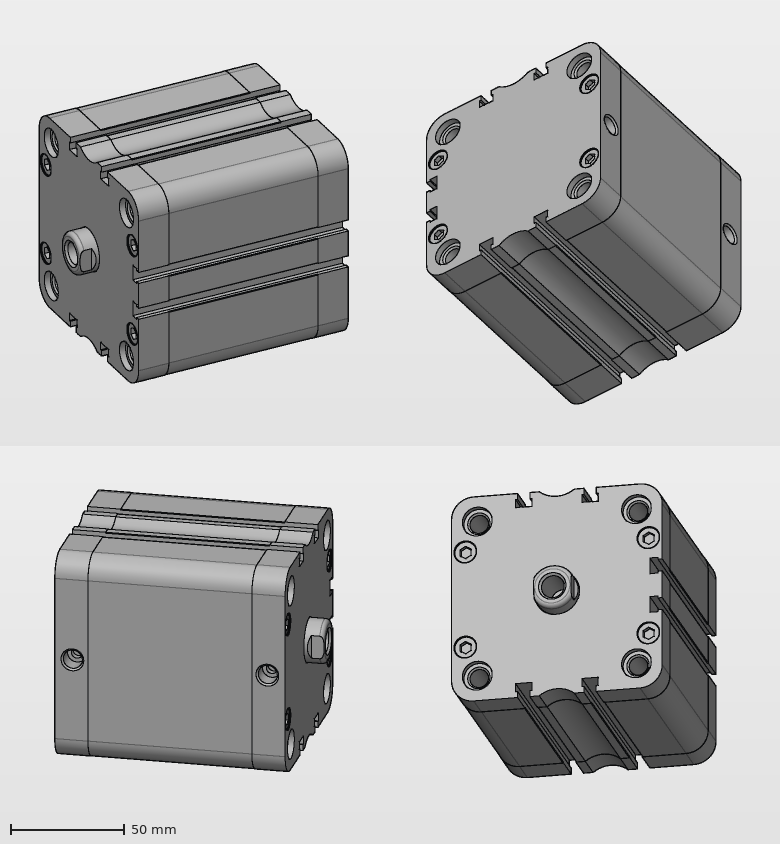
import cadquery as cq
import math


side = 95.5
half_side = side / 2
total_length = 113.0
rod_length = 8.8
body_length = total_length - rod_length
cap_length = 15.0
corner_radius = 10.1
tube_inset = 0.1

slot_opening = 5.5
slot_inner_width = 7.3
slot_inner_depth = 3.7
face_slot_offset = 15.0
face_slot_lip = 2.8
side_slot_offset = 9.0
side_slot_lip = 1.9
tube_slot_relief = 0.3

groove_radius = 13.0
groove_depth = 2.7

mount_offset = 36.0
mount_bore = 8.4
mount_countersink = 10.1
mount_counterbore = 13.5
mount_counterbore_depth = 3.0

screw_x = 41.5
screw_z = 22.3
screw_recess = 9.7
screw_recess_rim = 10.3
screw_recess_depth = 0.7
hex_flats = 5.0
hex_depth = 2.3

port_offset = 8.0
port_bore = 8.6
port_rim = 10.3
port_depth = 9.0
port_duct = 5.0
port_duct_depth = 12.4

rod_diameter = 20.0
rod_opening = 20.5
rod_opening_depth = 1.1
rod_end_round = 2.0
rod_flats = 17.0
flat_length = 5.8
rod_thread_bore = 10.3
rod_thread_rim = 12.4
rod_bore_depth = 20.3

end_faces = ((0, 1), (body_length, -1))
screw_points = [(x, z) for x in (-screw_x, screw_x) for z in (-screw_z, screw_z)]
mount_points = [(x, z) for x in (-mount_offset, mount_offset) for z in (-mount_offset, mount_offset)]


def bar(start, end, inset):
    """Square bar with rounded long edges, between two Y positions, inset from the outer sides."""
    width = side - 2 * inset
    block = cq.Workplane("XY").box(width, end - start, width)
    return block.edges("|Y").fillet(corner_radius - inset).translate((0, (start + end) / 2, 0))


def rod(diameter, start, end):
    """Round bar on the Y axis, between two Y positions."""
    return cq.Workplane("XZ", origin=(0, start, 0)).circle(diameter / 2).extrude(start - end)


def bevelled_hole(bore, rim, depth):
    """Cutter along +Z from z = 0, with a 45 degree bevel from the rim down to the bore."""
    bevel = (rim - bore) / 2
    outline = [(0, 0), (rim / 2, 0), (bore / 2, bevel), (bore / 2, depth), (0, depth)]
    return cq.Workplane("XZ").polyline(outline).close().revolve(360, (0, 0, 0), (0, 1, 0))


def along_y(cutter, direction):
    """Turn a cutter that points along +Z so that it points along +Y or -Y."""
    return cutter.rotate((0, 0, 0), (1, 0, 0), -90 * direction)


def slot(offset, lip):
    """T-slot cutter for the top face at the given X offset, with the tube's eased mouth."""
    opening = cq.Workplane("XY").box(slot_opening, body_length, 2 * lip)
    inner = cq.Workplane("XY").box(slot_inner_width, body_length, slot_inner_depth)
    inner = inner.translate((0, 0, -lip - slot_inner_depth / 2))
    half_mouth = slot_opening / 2
    relief = [
        (-half_mouth - tube_slot_relief, 0),
        (half_mouth + tube_slot_relief, 0),
        (half_mouth, -tube_slot_relief),
        (-half_mouth, -tube_slot_relief),
    ]
    tube_length = body_length - 2 * cap_length
    mouth = cq.Workplane("XZ").polyline(relief).close().extrude(tube_length / 2, both=True)
    mouth = mouth.translate((0, 0, -tube_inset))
    return opening.union(inner).union(mouth).translate((offset, body_length / 2, half_side))


def slots_and_grooves():
    """Yield the long cutters around the body."""
    groove_centre = half_side - groove_depth + groove_radius
    groove = rod(2 * groove_radius, 0, body_length)
    tube_groove = rod(2 * groove_radius, cap_length, body_length - cap_length)
    groove = groove.union(tube_groove.translate((0, 0, -tube_inset)))
    groove = groove.translate((0, 0, groove_centre))
    face_slots = [slot(offset, face_slot_lip) for offset in (-face_slot_offset, face_slot_offset)]
    for angle in (0, 180):
        for cutter in face_slots + [groove]:
            yield cutter.rotate((0, 0, 0), (0, 1, 0), angle)
    for offset in (-side_slot_offset, side_slot_offset):
        yield slot(offset, side_slot_lip).rotate((0, 0, 0), (0, 1, 0), 90)


def mounting_holes():
    """Yield the corner holes: through bore, countersunk inside a counterbore at each end."""
    counterbore = cq.Workplane("XY").circle(mount_counterbore / 2).extrude(mount_counterbore_depth)
    drill = bevelled_hole(mount_bore, mount_countersink, body_length / 2)
    end_cutter = counterbore.union(drill.translate((0, 0, mount_counterbore_depth)))
    for x, z in mount_points:
        for y, direction in end_faces:
            yield along_y(end_cutter, direction).translate((x, y, z))


def cap_screws():
    """Yield the bevelled recess above each screw head and the hexagon socket in it."""
    hex_corners = hex_flats / math.cos(math.pi / 6)
    recess = bevelled_hole(screw_recess, screw_recess_rim, screw_recess_depth)
    socket = cq.Workplane("XY").polygon(6, hex_corners).extrude(screw_recess_depth + hex_depth)
    cutter = recess.union(socket.rotate((0, 0, 0), (0, 0, 1), 90))
    for x, z in screw_points:
        for y, direction in end_faces:
            yield along_y(cutter, direction).translate((x, y, z))


def ports():
    """Yield the two air ports, one in each cap."""
    duct = cq.Workplane("XY").circle(port_duct / 2).extrude(port_duct_depth)
    cutter = bevelled_hole(port_bore, port_rim, port_depth).union(duct)
    cutter = cutter.rotate((0, 0, 0), (0, 1, 0), 90)
    for y in (port_offset, body_length - port_offset):
        yield cutter.translate((-half_side, y, 0))


def rod_flat():
    """Cutter for the +X wrench flat, ending in a 45 degree run-out at its inner end."""
    half_flats = rod_flats / 2
    overshoot = rod_diameter
    flat_end = -rod_length + flat_length
    outline = [
        (half_flats, -rod_length),
        (half_flats, flat_end),
        (half_flats + overshoot, flat_end + overshoot),
        (half_flats + overshoot, -rod_length),
    ]
    return cq.Workplane("XY").polyline(outline).close().extrude(rod_diameter, both=True)


def piston_rod():
    """Rod with a rounded end and two wrench flats."""
    shaft = rod(rod_diameter, -rod_length, rod_opening_depth)
    shaft = shaft.faces("<Y").edges().fillet(rod_end_round)
    flat = rod_flat()
    return shaft.cut(flat).cut(flat.mirror("YZ"))


body = bar(cap_length, body_length - cap_length, tube_inset)
for start in (0, body_length - cap_length):
    body = body.union(bar(start, start + cap_length, 0), clean=False)

for feature in (slots_and_grooves, mounting_holes, cap_screws, ports):
    for cutter in feature():
        body = body.cut(cutter, clean=False)

body = body.cut(rod(rod_opening, 0, rod_opening_depth), clean=False)
rod_bore = along_y(bevelled_hole(rod_thread_bore, rod_thread_rim, rod_bore_depth), 1)
rod_bore = rod_bore.translate((0, -rod_length, 0))
result = body.union(piston_rod(), clean=False).cut(rod_bore, clean=False)